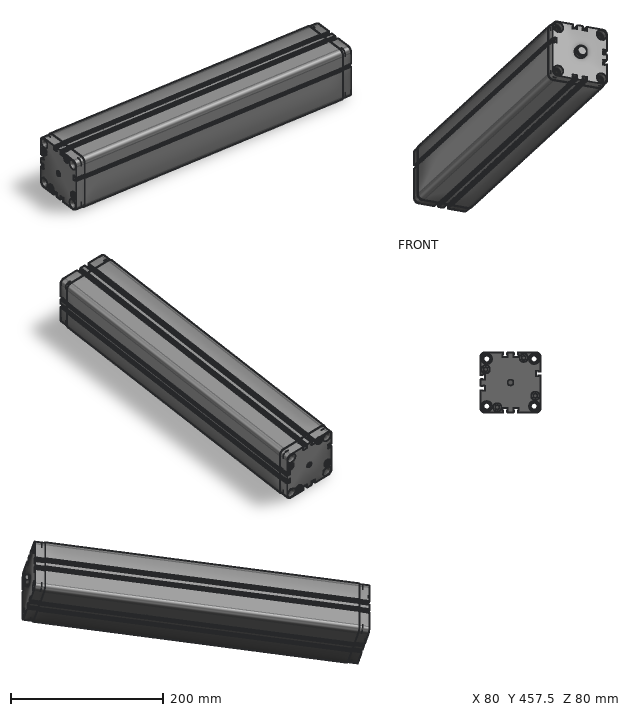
import cadquery as cq

total_length = 457.5
barrel_width = 80.0
rod_projection = 7.5

cap_width = 78.2
cap_length = 13.5
cap_corner_radius = 7.0

slot_mouth = 5.0
slot_inner_width = 7.0
slot_depth = 6.0
slot_lip = 2.7
pair_offset = 7.5
single_offset = 12.0
rib_chamfer = 1.5

mount_offset = 31.0
mount_hole_diameter = 8.5
counterbore_diameter = 13.5
counterbore_depth = 9.0

screw_near = 17.5
screw_far = 32.5
screw_recess_diameter = 11.0
screw_recess_depth = 1.5
screw_socket_flats = 5.5
screw_socket_depth = 3.5

centre_hole_diameter = 8.0
centre_hole_depth = 2.5

rod_diameter = 16.0
rod_flats = 13.5
rod_shoulder = 1.5
rod_chamfer = 1.6

cut_margin = 4.5

body_length = total_length - rod_projection
barrel_length = body_length - 2 * cap_length
barrel_corner_radius = cap_corner_radius + (barrel_width - cap_width) / 2
MOUNT_POINTS = [(sx * mount_offset, sz * mount_offset) for sx in (-1, 1) for sz in (-1, 1)]
SCREW_POINTS = [
    (screw_near, screw_far),
    (-screw_far, screw_near),
    (-screw_near, -screw_far),
    (screw_far, -screw_near),
]


def plane_at(y):
    """XZ sketch plane at the given Y, with its normal pointing to +Y."""
    return cq.Workplane(cq.Plane(origin=(0, y, 0), xDir=(-1, 0, 0), normal=(0, 1, 0)))


def at(points):
    """Part (X, Z) places as local coordinates of the sketch plane."""
    return [(-x, z) for x, z in points]


def block(width, base, height, middle, start, length):
    """Block for cutting the +Z face, centred on X = middle, standing on Z = base."""
    corner = (middle - width / 2, start, base)
    return cq.Workplane("XY").box(width, length, height, centered=False).translate(corner)


def t_slot(face, offset, start, length):
    """T-slot cutter for a +Z side lying at Z = face."""
    inner = block(slot_inner_width, face - slot_depth, slot_depth - slot_lip, offset, start, length)
    mouth = block(slot_mouth, face - slot_lip, slot_lip + cut_margin, offset, start, length)
    return inner.union(mouth)


def rib_bevel(face, side, start, length):
    """Triangular cutter for one outer edge of the rib between a pair of slots."""
    edge = pair_offset - slot_mouth / 2
    points = [(edge - rib_chamfer, face), (edge, face), (edge, face - rib_chamfer)]
    profile = [(side * x, z) for x, z in points]
    return plane_at(start).polyline(at(profile)).close().extrude(length)


def slotted_bar(width, radius, start, length):
    """Rounded square bar with slot pairs on +Z, -Z and -X and a single slot on +X."""
    face = width / 2
    bar = plane_at(start).rect(width, width).extrude(length).edges("|Y").fillet(radius)
    for turn in (0, 180, -90):
        for side in (-1, 1):
            slot = t_slot(face, side * pair_offset, start, length)
            cutter = slot.union(rib_bevel(face, side, start, length))
            bar = bar.cut(cutter.rotate((0, 0, 0), (0, 1, 0), turn))
    single = t_slot(face, -single_offset, start, length)
    return bar.cut(single.rotate((0, 0, 0), (0, 1, 0), 90))


body = slotted_bar(barrel_width, barrel_corner_radius, cap_length, barrel_length)
for cap_start in (0, body_length - cap_length):
    body = body.union(slotted_bar(cap_width, cap_corner_radius, cap_start, cap_length))

holes = plane_at(0).pushPoints(at(MOUNT_POINTS)).circle(mount_hole_diameter / 2)
body = body.cut(holes.extrude(body_length))
for bore_start in (0, body_length - counterbore_depth):
    bores = plane_at(bore_start).pushPoints(at(MOUNT_POINTS)).circle(counterbore_diameter / 2)
    body = body.cut(bores.extrude(counterbore_depth))

recesses = plane_at(0).pushPoints(at(SCREW_POINTS)).circle(screw_recess_diameter / 2)
body = body.cut(recesses.extrude(screw_recess_depth))
sockets = plane_at(0).pushPoints(at(SCREW_POINTS)).polygon(6, screw_socket_flats, circumscribed=True)
body = body.cut(sockets.extrude(screw_socket_depth))

body = body.cut(plane_at(0).circle(centre_hole_diameter / 2).extrude(centre_hole_depth))

rod = plane_at(body_length).circle(rod_diameter / 2).extrude(rod_projection)
rod = rod.faces(">Y").chamfer(rod_chamfer)
flats_length = rod_projection - rod_shoulder
flats = plane_at(body_length + rod_shoulder).rect(rod_flats, rod_diameter).extrude(flats_length)
shoulder = plane_at(body_length).circle(rod_diameter / 2).extrude(rod_shoulder)
rod = rod.intersect(flats.union(shoulder))

result = body.union(rod).translate((0, -total_length / 2, 0))